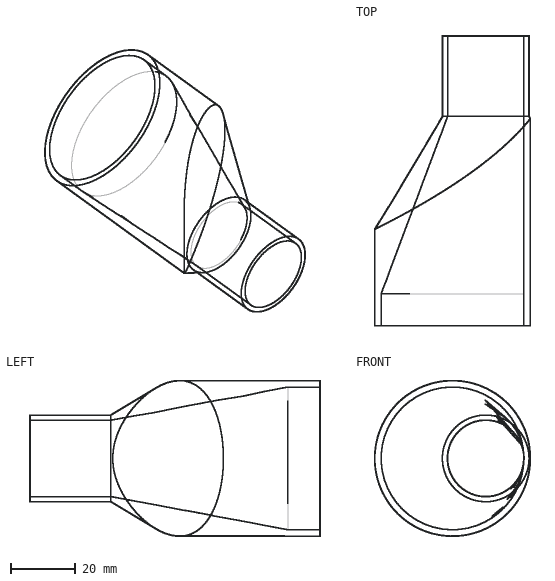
import cadquery as cq

length = 90.0
large_outer_diameter = 48.3
large_bore_diameter = 44.3
small_outer_diameter = 26.9
small_bore_diameter = 23.7
small_pipe_length = 25.0
large_bore_depth = 10.0
short_side_length = 30.0

small_pipe_offset = (large_bore_diameter - small_bore_diameter) / 2
y_front = -length / 2
y_back = length / 2
y_shoulder = y_back - small_pipe_length
y_bore_end = y_front + large_bore_depth

cone_reach = small_pipe_offset + large_outer_diameter / 2
cone_drop = y_shoulder - (y_front + short_side_length)
cone_slope = (cone_reach - small_outer_diameter / 2) / cone_drop


def pipe(diameter, x_center, y_start, pipe_length):
    """Solid cylinder along +Y."""
    return (
        cq.Workplane("XZ", origin=(x_center, y_start, 0))
        .circle(diameter / 2)
        .extrude(-pipe_length)
    )


def trimming_cone():
    """Solid cone around the small-pipe axis, from the shoulder to the front face."""
    small_radius = small_outer_diameter / 2
    base_radius = small_radius + cone_slope * (y_shoulder - y_front)
    return (
        cq.Workplane("XY", origin=(small_pipe_offset, 0, 0))
        .moveTo(0, y_front)
        .lineTo(base_radius, y_front)
        .lineTo(small_radius, y_shoulder)
        .lineTo(0, y_shoulder)
        .close()
        .revolve(360, (0, 0), (0, 1))
    )


def outer_body():
    """Large pipe trimmed by the cone, with the small pipe on its end."""
    large_pipe = pipe(large_outer_diameter, 0, y_front, y_shoulder - y_front)
    small_pipe = pipe(small_outer_diameter, small_pipe_offset, y_shoulder, small_pipe_length)
    return large_pipe.intersect(trimming_cone()).union(small_pipe)


def bore_transition():
    """Loft that leads from the large bore to the offset small bore."""
    return (
        cq.Workplane("XZ", origin=(0, y_bore_end, 0))
        .circle(large_bore_diameter / 2)
        .workplane(offset=-(y_shoulder - y_bore_end))
        .center(small_pipe_offset, 0)
        .circle(small_bore_diameter / 2)
        .loft()
    )


result = (
    outer_body()
    .cut(pipe(large_bore_diameter, 0, y_front, large_bore_depth))
    .cut(bore_transition())
    .cut(pipe(small_bore_diameter, small_pipe_offset, y_shoulder, small_pipe_length))
)